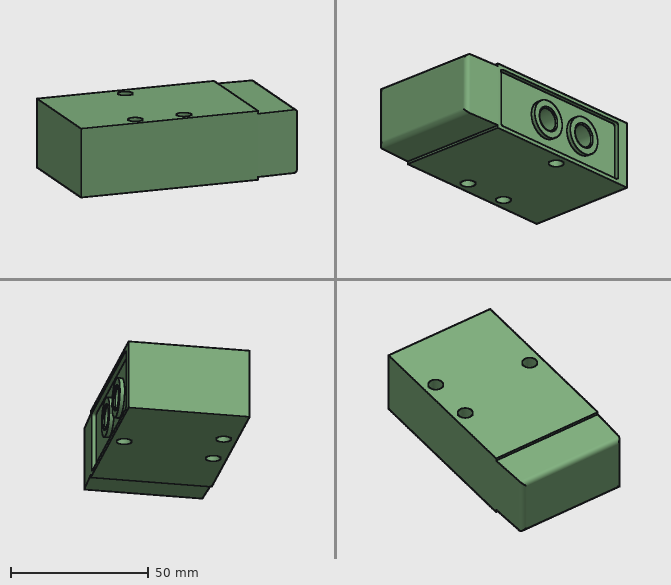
import cadquery as cq

width = 45.0
total_length = 85.0
height = 26.0
body_length = 69.0

cap_length = total_length - body_length
cap_height = 23.9
cap_end_width = 43.8
cap_edge_radius = 1.9

recess_depth = 1.7
recess_margin = 1.6
recess_end_margin = 4.8
recess_corner_radius = 1.1

port_pitch = 18.95
port_center_y = 32.55
port_boss_diameter = 14.6
port_bore_diameter = 8.6
port_bore_depth = 12.75
port_chamfer = 0.5

mounting_hole_diameter = 5.5
mounting_hole_x = 17.5

middle_z = height / 2
side_x = -width / 2
port_ys = [port_center_y - port_pitch / 2, port_center_y + port_pitch / 2]


def make_body():
    return cq.Workplane("XY").box(width, body_length, height, centered=(True, False, False))


def make_cap():
    """Tapered end cap with rounded edges around its outer end."""
    outline = [
        (-width / 2, body_length),
        (width / 2, body_length),
        (cap_end_width / 2, total_length),
        (-cap_end_width / 2, total_length),
    ]
    cap = (
        cq.Workplane("XY")
        .workplane(offset=middle_z - cap_height / 2)
        .polyline(outline)
        .close()
        .extrude(cap_height)
    )
    return cap.faces(">Y").edges().fillet(cap_edge_radius)


def make_recess():
    length = body_length - recess_margin - recess_end_margin
    return (
        cq.Workplane("XY")
        .box(recess_depth, length, height - 2 * recess_margin, centered=(False, False, True))
        .edges("|X")
        .fillet(recess_corner_radius)
        .translate((side_x, recess_end_margin, middle_z))
    )


def side_cylinder(diameter, depth, y):
    """Cylinder running inward from the -X side at port height."""
    start = cq.Vector(side_x, y, middle_z)
    return cq.Workplane(cq.Solid.makeCylinder(diameter / 2, depth, start, cq.Vector(1, 0, 0)))


def port_bore(y):
    """Blind bore with a chamfered mouth."""
    bore_radius = port_bore_diameter / 2
    start = cq.Vector(side_x, y, middle_z)
    mouth = cq.Solid.makeCone(
        bore_radius + port_chamfer, bore_radius, port_chamfer, start, cq.Vector(1, 0, 0)
    )
    return side_cylinder(port_bore_diameter, port_bore_depth, y).union(cq.Workplane(mouth))


def make_mounting_holes():
    centers = [(-mounting_hole_x, port_center_y)]
    centers += [(mounting_hole_x, y) for y in port_ys]
    return cq.Workplane("XY").pushPoints(centers).circle(mounting_hole_diameter / 2).extrude(height)


result = make_body().union(make_cap()).cut(make_recess())
for port_y in port_ys:
    result = result.union(side_cylinder(port_boss_diameter, recess_depth, port_y))
    result = result.cut(port_bore(port_y))
result = result.cut(make_mounting_holes())